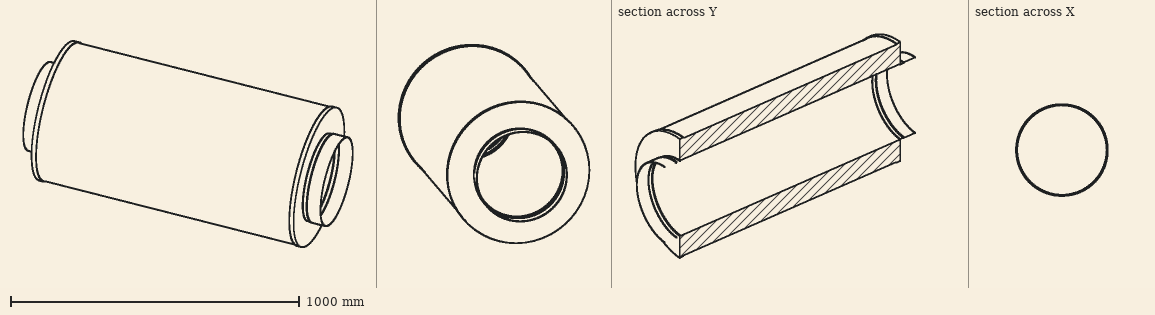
import cadquery as cq

total_length = 1102.0
casing_diameter = 495.0
rim_diameter = 500.0
collar_diameter = 320.0
neck_diameter = 315.0
collar_bore_diameter = 315.0
bore_diameter = 310.0

collar_length = 52.0
neck_length = 13.0
rim_width = 17.0
sheet_thickness = 2.0

half_length = total_length / 2
collar_end = half_length - collar_length
rim_face = collar_end - neck_length
rim_inner_face = rim_face - rim_width


def cylinder(diameter, half_width):
    """Cylinder along X, symmetric about the YZ plane."""
    return cq.Workplane("YZ").circle(diameter / 2).extrude(half_width, both=True)


def end_ring(diameter, inner_x, outer_x):
    """Matching discs at both ends, between two distances from the centre."""
    disc = cq.Workplane("YZ").workplane(offset=inner_x).circle(diameter / 2).extrude(outer_x - inner_x)
    return disc.union(disc.mirror("YZ"))


body = cylinder(casing_diameter, rim_face)
body = body.union(end_ring(rim_diameter, rim_inner_face, rim_face))

body = body.union(cylinder(neck_diameter, half_length))
body = body.union(end_ring(collar_diameter, collar_end, half_length))

body = body.cut(cylinder(bore_diameter, half_length))
body = body.cut(end_ring(collar_bore_diameter, collar_end + sheet_thickness, half_length))
result = body.cut(cylinder(collar_bore_diameter, rim_face - sheet_thickness))